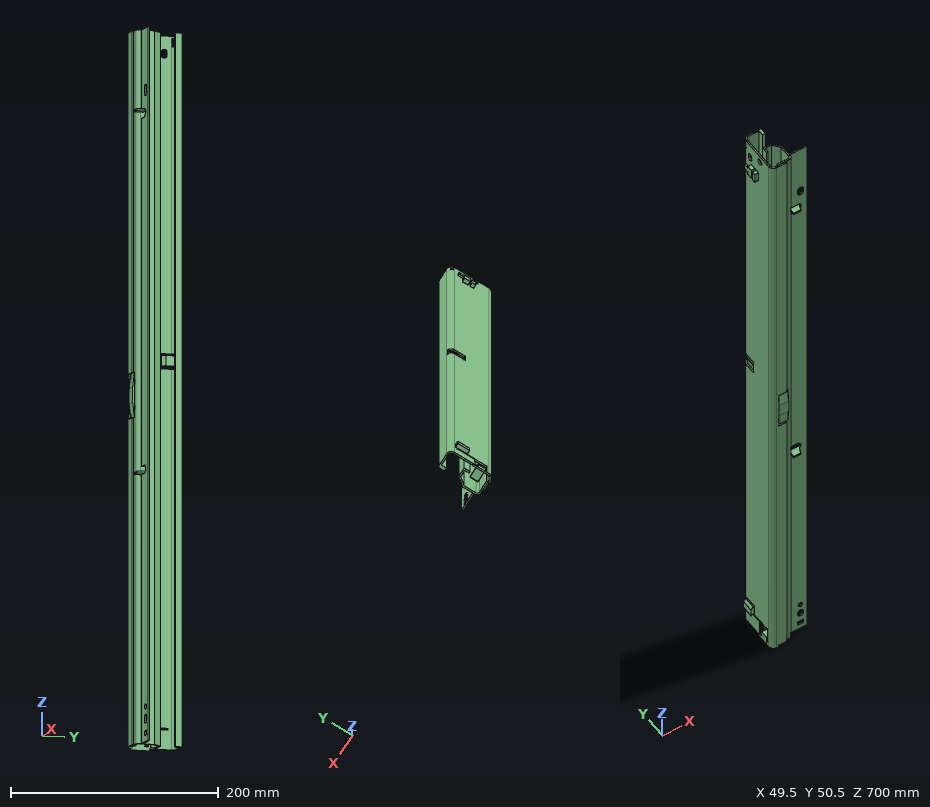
import cadquery as cq

LENGTH = 700.0
SHEET = 1.75
END_STEP = 2.0
BODY_LENGTH = LENGTH - END_STEP

CHANNEL_DEPTH = 50.5
BASE_WIDTH = 17.5
TOP_WIDTH = 21.0
LIP_HEIGHT = 8.0
BEND_RADIUS = 5.5
HEM_WIDTH = 2 * SHEET
STEP_X = 8.5
STEP_Y = 23.0

FOOT_START_X = 8.5
RAIL_WALL_X = 25.0
FOOT_BEND_RADIUS = 4.0
HOOK_X = 8.5
HOOK_TIP_Y = 22.0
RAIL_TOP_Y = 29.0
SLOPE_START_X = 18.0
SLOPE_END_Y = 20.0
WING_Y = 7.0
WING_END_X = 45.5

WING_HOLE_X = 38.0
WING_HOLE_WIDTH = 6.0
TALL_SLOTS = [(639.0, 10.5), (24.5, 8.5)]
ROUND_HOLE_Z = 36.5
ROUND_HOLE_DIAMETER = 5.0
LOW_HOLE_Z = 10.5
LOW_HOLE_HEIGHT = 4.0

WING_TABS = [(619.5, 1), (267.0, -1)]
WING_SLOT_HEIGHT = 6.0
WING_SLOT_END_X = 38.5
WING_SLOT_CORNER = 3.5
WING_TAB_ROOT_X = 36.5
WING_TAB_TIP_X = 33.5

NOTCH_BOTTOM_Z = 322.0
NOTCH_TOP_Z = 366.0
BRIDGE_RAMP = 15.0
BRIDGE_END_X = 19.5

CORNER_WINDOW_BOTTOM_Z = 374.5
CORNER_WINDOW_HEIGHT = 15.0
CORNER_WINDOW_END_Y = 32.0
CORNER_TAB_CLEARANCE = 2.0
CORNER_TAB_X = 4.0
CORNER_TAB_STRAIGHT_END_Y = 38.0
CORNER_TAB_TIP_Y = 34.0

CORNER_HOLE_Y = 45.5
CORNER_HOLE_BOTTOM_Z = 689.5
CORNER_HOLE_WIDTH = 3.0
CORNER_HOLE_HEIGHT = 8.5
WALL_HOLE_Y = 21.0
WALL_HOLE_Z = 691.5
WALL_HOLE_DIAMETER = 6.0
WALL_SLOT_Y = 38.0
WALL_SLOT_Z = 682.5
WALL_SLOT_WIDTH = 5.5
WALL_SLOT_HEIGHT = 8.5

CATCH_REACH = 4.0
UPPER_CATCH_BOTTOM_Z = 663.0
UPPER_CATCH_HEIGHT = 11.0
UPPER_CATCH_BARS = [(23.0, 27.0), (29.5, 36.0)]
UPPER_ARM_END_Y = 42.0
UPPER_ARM_BOTTOM_Z = 666.0
UPPER_ARM_HEIGHT = 6.0
LOWER_CATCH_START_Y = 30.0
LOWER_CATCH_END_Y = 43.5
LOWER_CATCH_BOTTOM_Z = 24.5
LOWER_CATCH_TOP_Z = 36.0
LOWER_CATCH_CHAMFER = 3.0

SHELF_WINDOW_START_Y = 8.0
SHELF_WINDOW_END_Y = 22.0
SHELF_WINDOW_TOP_Z = 23.0
SHELF_START_Y = 9.0
SHELF_END_Y = 18.0
SHELF_END_X = 15.0
SHELF_WINDOW_BOTTOM_Z = 4.0
SHELF_Z = 8.5
SLIT_END_Y = 41.0
SLIT_HEIGHT = 1.5


def block(x0, x1, y0, y1, z0, z1):
    """Box between opposite corners."""
    return cq.Workplane("XY").box(x1 - x0, y1 - y0, z1 - z0, centered=False).translate((x0, y0, z0))


def wall_cutter(y0, y1, z0, z1):
    """Box that cuts through the side wall."""
    return block(-SHEET, 2 * SHEET, y0, y1, z0, z1)


def channel_blank():
    outer = block(0, TOP_WIDTH, 0, CHANNEL_DEPTH, 0, LENGTH).edges("|Z and <X").fillet(BEND_RADIUS)
    inner_top = CHANNEL_DEPTH - SHEET
    cavity = block(SHEET, TOP_WIDTH - HEM_WIDTH, SHEET, inner_top, 0, LENGTH)
    cavity = cavity.edges("|Z and <X").fillet(BEND_RADIUS - SHEET)
    mouth = block(TOP_WIDTH - HEM_WIDTH, TOP_WIDTH, SHEET, CHANNEL_DEPTH - LIP_HEIGHT, 0, LENGTH)
    base_trim = block(BASE_WIDTH, TOP_WIDTH, 0, SHEET, 0, LENGTH)
    blank = outer.cut(cavity).cut(mouth).cut(base_trim)
    blank = blank.edges("|Z and >X and >Y").fillet(SHEET)
    base_step = block(STEP_X, TOP_WIDTH, 0, STEP_Y, 0, END_STEP)
    upper_step = block(0, TOP_WIDTH, STEP_Y, CHANNEL_DEPTH, 0, END_STEP)
    return blank.cut(base_step).cut(upper_step)


def cut_base_notch(channel):
    return channel.cut(block(FOOT_START_X, BASE_WIDTH, 0, SHEET, NOTCH_BOTTOM_Z, NOTCH_TOP_Z))


def add_corner_tab(channel):
    """Tab that hangs from the top flange, inside a window cut through the bend."""
    window_top_z = CORNER_WINDOW_BOTTOM_Z + CORNER_WINDOW_HEIGHT
    tab_top_y = CHANNEL_DEPTH - SHEET / 2
    window = block(
        0, CORNER_TAB_X, CORNER_WINDOW_END_Y, CHANNEL_DEPTH, CORNER_WINDOW_BOTTOM_Z, window_top_z
    )
    tab = (
        cq.Workplane("XY", origin=(0, 0, CORNER_WINDOW_BOTTOM_Z + CORNER_TAB_CLEARANCE))
        .polyline([
            (CORNER_TAB_X, tab_top_y),
            (CORNER_TAB_X, CORNER_TAB_STRAIGHT_END_Y),
            (CORNER_TAB_X - SHEET, CORNER_TAB_TIP_Y),
            (CORNER_TAB_X, CORNER_TAB_TIP_Y),
            (CORNER_TAB_X + SHEET, CORNER_TAB_STRAIGHT_END_Y),
            (CORNER_TAB_X + SHEET, tab_top_y),
        ])
        .close()
        .extrude(CORNER_WINDOW_HEIGHT - 2 * CORNER_TAB_CLEARANCE)
    )
    return channel.cut(window).union(tab)


def cut_upper_wall_holes(channel):
    corner_hole = wall_cutter(
        CORNER_HOLE_Y, CORNER_HOLE_Y + CORNER_HOLE_WIDTH,
        CORNER_HOLE_BOTTOM_Z, CORNER_HOLE_BOTTOM_Z + CORNER_HOLE_HEIGHT,
    )
    wall_plane = cq.Workplane("YZ")
    round_hole = wall_plane.center(WALL_HOLE_Y, WALL_HOLE_Z).circle(WALL_HOLE_DIAMETER / 2).extrude(SHEET)
    slot = (
        wall_plane.center(WALL_SLOT_Y, WALL_SLOT_Z)
        .slot2D(WALL_SLOT_HEIGHT, WALL_SLOT_WIDTH, angle=90)
        .extrude(SHEET)
    )
    return channel.cut(corner_hole).cut(round_hole).cut(slot)


def add_upper_catch(channel):
    catch_top_z = UPPER_CATCH_BOTTOM_Z + UPPER_CATCH_HEIGHT
    for start_y, end_y in UPPER_CATCH_BARS:
        channel = channel.union(block(-CATCH_REACH, 0, start_y, end_y, UPPER_CATCH_BOTTOM_Z, catch_top_z))
    bar_end_y = UPPER_CATCH_BARS[-1][1]
    arm_top_z = UPPER_ARM_BOTTOM_Z + UPPER_ARM_HEIGHT
    arm = block(
        -CATCH_REACH, SHEET - CATCH_REACH, bar_end_y, UPPER_ARM_END_Y, UPPER_ARM_BOTTOM_Z, arm_top_z
    )
    return channel.union(arm)


def add_lower_catch(channel):
    catch = block(
        -CATCH_REACH, 0, LOWER_CATCH_START_Y, LOWER_CATCH_END_Y, LOWER_CATCH_BOTTOM_Z, LOWER_CATCH_TOP_Z
    )
    return channel.union(catch.edges("|Y and <X and >Z").chamfer(LOWER_CATCH_CHAMFER))


def add_shelf(channel):
    """Shelf bent inwards in a window, whose top edge runs on as a slit."""
    window = wall_cutter(
        SHELF_WINDOW_START_Y, SHELF_WINDOW_END_Y, SHELF_WINDOW_BOTTOM_Z, SHELF_WINDOW_TOP_Z
    )
    slit = wall_cutter(
        SHELF_WINDOW_END_Y, SLIT_END_Y, SHELF_WINDOW_TOP_Z - SLIT_HEIGHT, SHELF_WINDOW_TOP_Z
    )
    shelf = block(0, SHELF_END_X, SHELF_START_Y, SHELF_END_Y, SHELF_Z, SHELF_Z + SHEET)
    root = block(0, SHEET, SHELF_START_Y, SHELF_END_Y, SHELF_WINDOW_BOTTOM_Z, SHELF_Z)
    return channel.cut(window).cut(slit).union(root).union(shelf)


def make_channel():
    channel = channel_blank()
    channel = cut_base_notch(channel)
    channel = add_corner_tab(channel)
    channel = cut_upper_wall_holes(channel)
    channel = add_upper_catch(channel)
    channel = add_lower_catch(channel)
    return add_shelf(channel)


def rail_blank():
    """Hook, slope, wall and foot in one section, with the wing standing on the wall."""
    foot_front_y = SHEET
    foot_back_y = foot_front_y + SHEET
    inner_wall_x = RAIL_WALL_X - SHEET
    inner_top_y = RAIL_TOP_Y - SHEET
    wing_back_y = WING_Y + SHEET
    mitre = SHEET / 2
    blank = (
        cq.Workplane("XY", origin=(0, 0, END_STEP))
        .polyline([
            (FOOT_START_X, foot_front_y),
            (RAIL_WALL_X, foot_front_y),
            (RAIL_WALL_X, WING_Y),
            (WING_END_X, WING_Y),
            (WING_END_X, wing_back_y),
            (RAIL_WALL_X, wing_back_y),
            (RAIL_WALL_X, SLOPE_END_Y),
            (SLOPE_START_X, RAIL_TOP_Y),
            (HOOK_X, RAIL_TOP_Y),
            (HOOK_X, HOOK_TIP_Y),
            (HOOK_X + SHEET, HOOK_TIP_Y),
            (HOOK_X + SHEET, inner_top_y),
            (SLOPE_START_X - mitre, inner_top_y),
            (inner_wall_x, SLOPE_END_Y - mitre),
            (inner_wall_x, foot_back_y),
            (FOOT_START_X, foot_back_y),
        ])
        .close()
        .extrude(BODY_LENGTH)
    )
    outer_bend = cq.selectors.NearestToPointSelector((RAIL_WALL_X, foot_front_y, LENGTH / 2))
    inner_bend = cq.selectors.NearestToPointSelector((inner_wall_x, foot_back_y, LENGTH / 2))
    blank = blank.edges("|Z").edges(outer_bend).fillet(FOOT_BEND_RADIUS)
    return blank.edges("|Z").edges(inner_bend).fillet(FOOT_BEND_RADIUS - SHEET)


def press_foot_bridge(rail):
    opening = block(FOOT_START_X, BRIDGE_END_X, SHEET, 2 * SHEET, NOTCH_BOTTOM_Z, NOTCH_TOP_Z)
    flat_bottom = NOTCH_BOTTOM_Z + BRIDGE_RAMP
    flat_top = NOTCH_TOP_Z - BRIDGE_RAMP
    strip = (
        cq.Workplane("YZ", origin=(FOOT_START_X, 0, 0))
        .polyline([
            (SHEET, NOTCH_BOTTOM_Z),
            (0, flat_bottom),
            (0, flat_top),
            (SHEET, NOTCH_TOP_Z),
            (2 * SHEET, NOTCH_TOP_Z),
            (SHEET, flat_top),
            (SHEET, flat_bottom),
            (2 * SHEET, NOTCH_BOTTOM_Z),
        ])
        .close()
        .extrude(BRIDGE_END_X - FOOT_START_X)
    )
    return rail.cut(opening).union(strip)


def cut_wing_holes(rail):
    wing_plane = cq.Workplane("XZ", origin=(0, WING_Y + SHEET, 0))
    for centre_z, height in TALL_SLOTS:
        slot = wing_plane.center(WING_HOLE_X, centre_z).slot2D(height, WING_HOLE_WIDTH, angle=90)
        rail = rail.cut(slot.extrude(SHEET))
    round_hole = wing_plane.center(WING_HOLE_X, ROUND_HOLE_Z).circle(ROUND_HOLE_DIAMETER / 2)
    rail = rail.cut(round_hole.extrude(SHEET))
    low_hole = wing_plane.center(WING_HOLE_X, LOW_HOLE_Z).rect(WING_HOLE_WIDTH, LOW_HOLE_HEIGHT)
    return rail.cut(low_hole.extrude(SHEET))


def add_wing_tab(rail, edge_z, side):
    """Tab that stands out of the wing at edge_z, with its slot on the other side of the edge."""
    slot_far_z = edge_z - side * WING_SLOT_HEIGHT
    slot = (
        cq.Workplane("XZ", origin=(0, WING_Y + SHEET, 0))
        .polyline([
            (RAIL_WALL_X, edge_z),
            (WING_SLOT_END_X, edge_z),
            (WING_SLOT_END_X, slot_far_z + side * WING_SLOT_CORNER),
            (WING_SLOT_END_X - WING_SLOT_CORNER, slot_far_z),
            (RAIL_WALL_X, slot_far_z),
        ])
        .close()
        .extrude(SHEET)
    )
    tab = (
        cq.Workplane("XY", origin=(0, 0, edge_z))
        .polyline([
            (RAIL_WALL_X, 0),
            (WING_TAB_TIP_X, 0),
            (WING_TAB_ROOT_X, WING_Y),
            (RAIL_WALL_X, WING_Y),
        ])
        .close()
        .extrude(side * SHEET)
    )
    return rail.cut(slot).union(tab)


def make_rail():
    rail = press_foot_bridge(rail_blank())
    rail = cut_wing_holes(rail)
    for edge_z, side in WING_TABS:
        rail = add_wing_tab(rail, edge_z, side)
    return rail


channel = make_channel()
rail = make_rail()
result = cq.Compound.makeCompound([channel.val(), rail.val()])